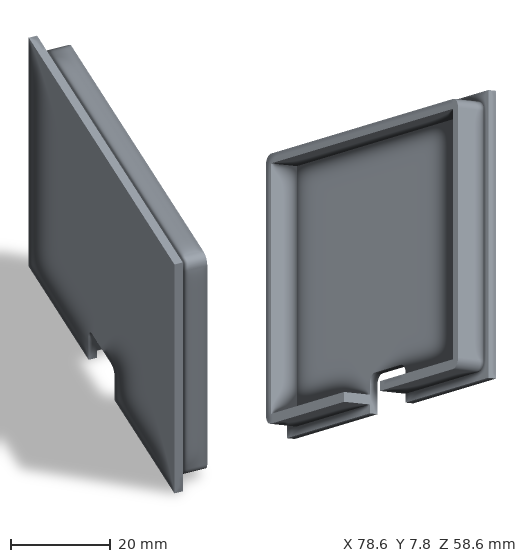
import cadquery as cq

plate_width = 78.6
plate_height = 58.6
plate_thickness = 1.8

rim_depth = 6.0
rim_inset = 1.8
rim_wall = 2.0
rim_corner_radius = 2.0
rim_width = plate_width - 2 * rim_inset
rim_height = plate_height - 2 * rim_inset
total_depth = plate_thickness + rim_depth

notch_width = 14.0
notch_height = 8.0
notch_corner_radius = 2.0


def block(width, height, y_start, y_end):
    """Block centred on X and Z, spanning y_start to y_end."""
    return (
        cq.Workplane("XZ", origin=(0, y_start, 0))
        .rect(width, height)
        .extrude(y_start - y_end)
    )


def make_plate():
    return block(plate_width, plate_height, 0, plate_thickness)


def make_rim():
    outer = block(rim_width, rim_height, plate_thickness, total_depth)
    outer = outer.edges("|Y").fillet(rim_corner_radius)
    cavity_width = rim_width - 2 * rim_wall
    cavity_height = rim_height - 2 * rim_wall
    cavity = block(cavity_width, cavity_height, plate_thickness, total_depth)
    return outer.cut(cavity)


def make_notch():
    notch = block(notch_width, notch_height, 0, total_depth)
    notch = notch.edges("|Y and >Z").fillet(notch_corner_radius)
    return notch.translate((0, 0, (notch_height - plate_height) / 2))


result = make_plate().union(make_rim()).cut(make_notch())